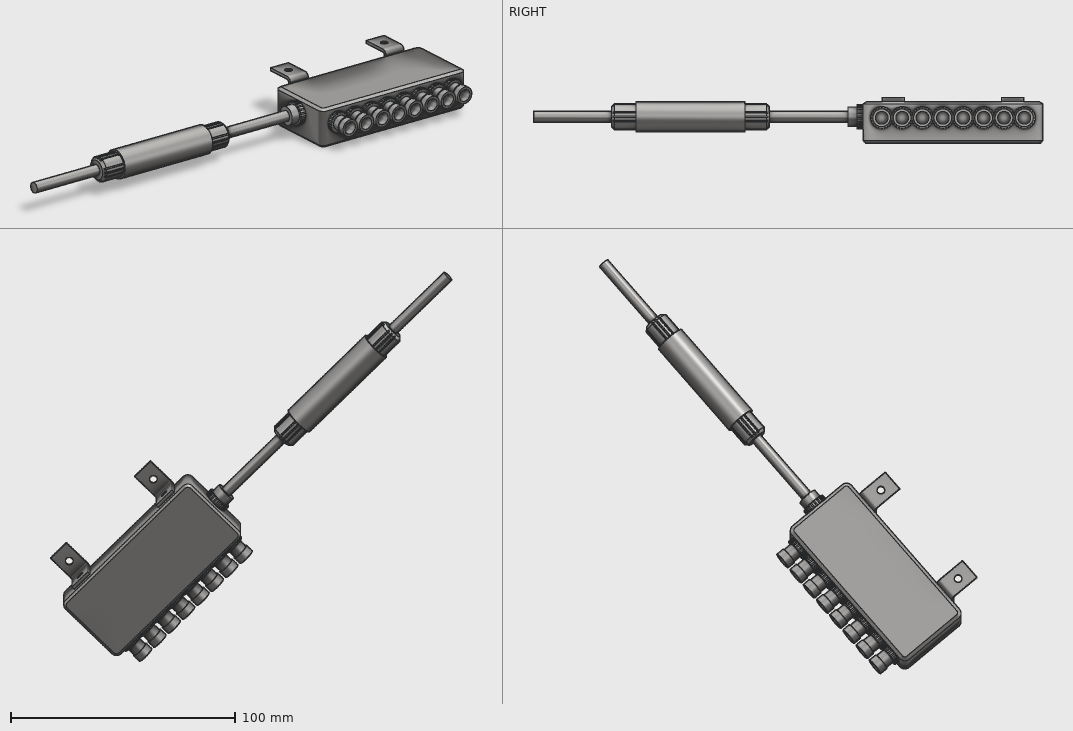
import cadquery as cq


BOX_X = 35.0
BOX_Y = 80.0
BOX_Z = 18.5
BOX_LEFT_X = -15.0
BOX_BACK_Y = 113.5
BOX_BOTTOM_Z = -10.2
BOX_CORNER_RADIUS = 3.0
TOP_CHAMFER_INSET = 1.5
TOP_CHAMFER_DROP = 1.02
BOTTOM_CHAMFER = 1.1

BOX_RIGHT_X = BOX_LEFT_X + BOX_X
BOX_FRONT_Y = BOX_BACK_Y - BOX_Y
BOX_CENTER_X = BOX_LEFT_X + BOX_X / 2
BOX_CENTER_Y = BOX_BACK_Y - BOX_Y / 2

SHEET_THICKNESS = 1.5
BRACKET_WIDTH = 10.0
BRACKET_PITCH = 53.0
BRACKET_TIP_X = -30.0
BRACKET_TOP_Z = 10.2
BRACKET_HEIGHT = 15.2
BEND_OUTER_RADIUS = 2.5
BRACKET_HOLE_DIAMETER = 3.5
TAB_HOLE_X = -23.1
WALL_HOLE_Z = 2.0
SCREW_HOLE_DIAMETER = 2.7
SCREW_HOLE_DEPTH = 1.4

BEND_INNER_RADIUS = BEND_OUTER_RADIUS - SHEET_THICKNESS
BRACKET_YS = [BOX_CENTER_Y + side * BRACKET_PITCH / 2 for side in (-1, 1)]

SOCKET_COUNT = 8
SOCKET_PITCH = 9.0
SOCKET_Z = 1.1
SOCKET_END_X = 30.0
COLLAR_DIAMETER = 10.0
COLLAR_LENGTH = 2.3
NECK_DIAMETER = 7.0
CAP_DIAMETER = 8.0
CAP_LENGTH = 3.6
BORE_DIAMETER = 5.7
BORE_DEPTH = 6.4

CABLE_X = 2.5
CABLE_Z = 1.5
CABLE_DIAMETER = 5.0
CABLE_END_Y = -113.5
GLAND_RING_DIAMETER = 11.1
GLAND_RING_LENGTH = 2.7
GLAND_DIAMETER = 8.8
GLAND_LENGTH = 6.8

KNURL_COUNT = 20
KNURL_DIAMETER = 0.7

SLEEVE_DIAMETER = 13.5
SLEEVE_LENGTH = 48.5
SLEEVE_BACK_Y = -19.3
NUT_DIAMETER = 11.8
NUT_LENGTH = 11.0
NUT_CHAMFER = 1.4
GRIP_GROOVE_WIDTH = 0.7
GRIP_GROOVE_DEPTH = 0.7
GRIP_GROUPS = 4
GRIP_ANGLES = (-20, 0, 20)

SLEEVE_FRONT_Y = SLEEVE_BACK_Y - SLEEVE_LENGTH


def cable_plane(y):
    """Plane across the cable at y, facing -Y."""
    return cq.Plane(origin=(CABLE_X, y, CABLE_Z), xDir=(1, 0, 0), normal=(0, -1, 0))


def socket_plane(x, y):
    """Plane across the socket axis at y, facing +X from x."""
    return cq.Plane(origin=(x, y, SOCKET_Z), xDir=(0, 1, 0), normal=(1, 0, 0))


def rod(plane, diameter, length):
    return cq.Workplane(plane).circle(diameter / 2).extrude(length)


def knurled_ring(plane, diameter, length):
    """Disc with round flutes spaced evenly around its rim."""
    flutes = (
        cq.Workplane(plane)
        .polarArray(diameter / 2, 0, 360, KNURL_COUNT)
        .circle(KNURL_DIAMETER / 2)
        .extrude(length)
    )
    return rod(plane, diameter, length).cut(flutes)


def make_box():
    outline = cq.Workplane("XY", origin=(BOX_CENTER_X, BOX_CENTER_Y, BOX_BOTTOM_Z)).rect(BOX_X, BOX_Y)
    box = outline.extrude(BOX_Z).edges("|Z").fillet(BOX_CORNER_RADIUS)
    box = box.faces(">Z").chamfer(TOP_CHAMFER_DROP, TOP_CHAMFER_INSET)
    box = box.faces("<Z").chamfer(BOTTOM_CHAMFER)
    for y in BRACKET_YS:
        hole_plane = cq.Workplane("YZ", origin=(BOX_LEFT_X, y, WALL_HOLE_Z))
        box = box.cut(hole_plane.circle(SCREW_HOLE_DIAMETER / 2).extrude(SCREW_HOLE_DEPTH))
    return box


def make_socket(y):
    """Knurled collar on the wall, then a neck and a wider cap, bored from the open end."""
    collar = knurled_ring(socket_plane(BOX_RIGHT_X, y), COLLAR_DIAMETER, COLLAR_LENGTH)
    neck = rod(socket_plane(BOX_RIGHT_X, y), NECK_DIAMETER, SOCKET_END_X - BOX_RIGHT_X)
    cap = rod(socket_plane(SOCKET_END_X - CAP_LENGTH, y), CAP_DIAMETER, CAP_LENGTH)
    bore = rod(socket_plane(SOCKET_END_X - BORE_DEPTH, y), BORE_DIAMETER, BORE_DEPTH)
    return collar.union(neck).union(cap).cut(bore)


def make_gland():
    ring = knurled_ring(cable_plane(BOX_FRONT_Y), GLAND_RING_DIAMETER, GLAND_RING_LENGTH)
    return ring.union(rod(cable_plane(BOX_FRONT_Y), GLAND_DIAMETER, GLAND_LENGTH))


def make_nut(back_y, free_end):
    """Clamping nut with groups of grip grooves; free_end selects its chamfered end face."""
    nut = rod(cable_plane(back_y), NUT_DIAMETER, NUT_LENGTH).faces(free_end).chamfer(NUT_CHAMFER)
    groove = (
        cq.Workplane(cable_plane(back_y))
        .center(0, NUT_DIAMETER / 2)
        .rect(GRIP_GROOVE_WIDTH, 2 * GRIP_GROOVE_DEPTH)
        .extrude(NUT_LENGTH)
    )
    for group in range(GRIP_GROUPS):
        for offset in GRIP_ANGLES:
            angle = group * 360 / GRIP_GROUPS + offset
            nut = nut.cut(groove.rotate((CABLE_X, 0, CABLE_Z), (CABLE_X, 1, CABLE_Z), angle))
    return nut


def make_coupling():
    sleeve = rod(cable_plane(SLEEVE_BACK_Y), SLEEVE_DIAMETER, SLEEVE_LENGTH)
    back_nut = make_nut(SLEEVE_BACK_Y + NUT_LENGTH, ">Y")
    front_nut = make_nut(SLEEVE_FRONT_Y, "<Y")
    return sleeve.union(back_nut).union(front_nut)


def make_unit():
    """Box, sockets, gland, cable and coupling as one solid."""
    unit = make_box()
    first_socket_y = BOX_CENTER_Y - (SOCKET_COUNT - 1) * SOCKET_PITCH / 2
    for index in range(SOCKET_COUNT):
        unit = unit.union(make_socket(first_socket_y + index * SOCKET_PITCH))
    cable = rod(cable_plane(BOX_FRONT_Y), CABLE_DIAMETER, BOX_FRONT_Y - CABLE_END_Y)
    return unit.union(make_gland()).union(cable).union(make_coupling())


def make_bracket(y):
    """Bent strip: a wall leg against the box and a tab reaching out to -X, one hole in each."""
    bend_x = BOX_LEFT_X - BEND_OUTER_RADIUS
    bend_z = BRACKET_TOP_Z - BEND_OUTER_RADIUS
    leg_bottom_z = BRACKET_TOP_Z - BRACKET_HEIGHT
    leg_outer_x = BOX_LEFT_X - SHEET_THICKNESS
    tab_bottom_z = BRACKET_TOP_Z - SHEET_THICKNESS
    bracket = (
        cq.Workplane("XZ", origin=(0, y + BRACKET_WIDTH / 2, 0))
        .moveTo(BRACKET_TIP_X, BRACKET_TOP_Z)
        .lineTo(bend_x, BRACKET_TOP_Z)
        .radiusArc((BOX_LEFT_X, bend_z), BEND_OUTER_RADIUS)
        .lineTo(BOX_LEFT_X, leg_bottom_z)
        .lineTo(leg_outer_x, leg_bottom_z)
        .lineTo(leg_outer_x, bend_z)
        .radiusArc((bend_x, tab_bottom_z), -BEND_INNER_RADIUS)
        .lineTo(BRACKET_TIP_X, tab_bottom_z)
        .close()
        .extrude(BRACKET_WIDTH)
    )
    tab_hole = cq.Workplane("XY", origin=(TAB_HOLE_X, y, tab_bottom_z))
    wall_hole = cq.Workplane("YZ", origin=(leg_outer_x, y, WALL_HOLE_Z))
    for hole in (tab_hole, wall_hole):
        bracket = bracket.cut(hole.circle(BRACKET_HOLE_DIAMETER / 2).extrude(SHEET_THICKNESS))
    return bracket


unit = make_unit()
brackets = [make_bracket(y) for y in BRACKET_YS]
result = cq.Compound.makeCompound([body.solids().val() for body in (unit, *brackets)])